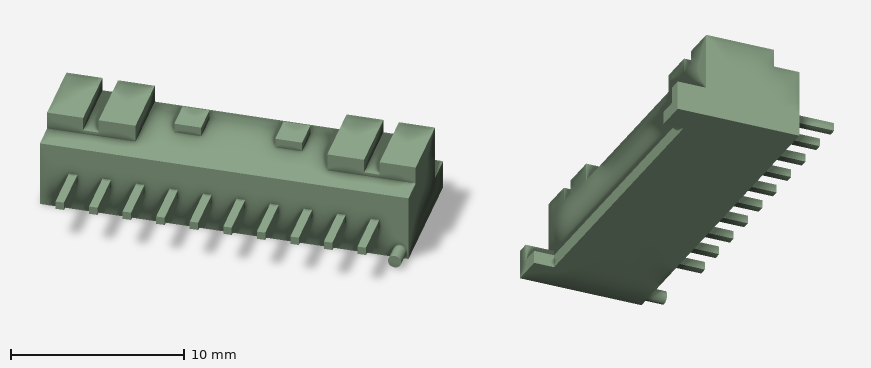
import cadquery as cq


length = 22.0
depth = 7.7
body_height = 4.2
base_height = 1.8
base_ledge_depth = 1.8
body_depth = depth - base_ledge_depth

arm_length = 2.0
notch_depth = 1.25
side_wall = 0.81
floor_height = 0.8

overall_height = 5.3
pad_setback = 1.6
pad_length = 5.28
slot_width = 0.92
slot_offset = 2.15
slot_floor_height = 4.45

tab_offset = 3.01
tab_width = 1.6
tab_depth = 1.85
tab_setback = 3.12
tab_top = 4.8

pin_count = 10
pin_pitch = 2.0
pin_width = 0.5
pin_length = 3.0
pin_height = 2.15

peg_diameter = 0.8
peg_length = 1.2
peg_inset = 0.5
peg_height = 0.5


def block(x_range, y_range, z_range):
    """Box spanning the given (low, high) ranges."""
    lows, highs = zip(x_range, y_range, z_range)
    sizes = [high - low for low, high in zip(lows, highs)]
    return cq.Workplane("XY").box(*sizes, centered=False).translate(lows)


def span(center, width):
    """Range of the given width about a center."""
    return (center - width / 2, center + width / 2)


def housing():
    """Tall body with the recessed and notched base ledge behind it."""
    profile = [
        (0, 0),
        (depth, 0),
        (depth, base_height),
        (body_depth, base_height),
        (body_depth, body_height),
        (0, body_height),
    ]
    body = cq.Workplane("YZ").polyline(profile).close().extrude(length / 2, both=True)
    recess = block(
        span(0, length - 2 * side_wall), (body_depth, depth), (floor_height, base_height)
    )
    notch = block(span(0, length - 2 * arm_length), (depth - notch_depth, depth), (0, base_height))
    return body.cut(recess).cut(notch)


def left_end_pad():
    """Raised pad at the -X end with its slot."""
    end = -length / 2
    slot_start = end + slot_offset
    pad_y = (pad_setback, body_depth)
    pad = block((end, end + pad_length), pad_y, (body_height, overall_height))
    slot = block(
        (slot_start, slot_start + slot_width), pad_y, (slot_floor_height, overall_height)
    )
    return pad.cut(slot)


def tab(x):
    tab_y = (tab_setback, tab_setback + tab_depth)
    return block(span(x, tab_width), tab_y, (body_height, tab_top))


def pin(x):
    return block(span(x, pin_width), (-pin_length, 0), span(pin_height, pin_width))


def peg():
    """Round peg beside the last pin."""
    return (
        cq.Workplane("XZ")
        .center(length / 2 - peg_inset, peg_height)
        .circle(peg_diameter / 2)
        .extrude(peg_length)
    )


result = housing()

end_pad = left_end_pad()
result = result.union(end_pad).union(end_pad.mirror("YZ"))

for side in (-1, 1):
    result = result.union(tab(side * tab_offset))

for index in range(pin_count):
    result = result.union(pin((index - (pin_count - 1) / 2) * pin_pitch))

result = result.union(peg())